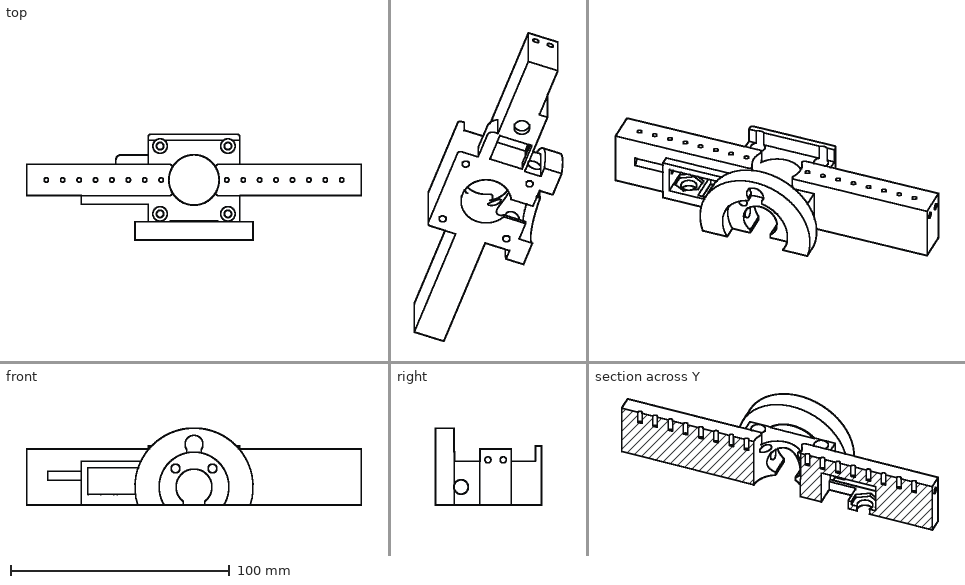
import cadquery as cq
import math

beam_length = 153.0
beam_width = 14.4
beam_height = 25.7
bore_radius = 11.45
beam_tip_fillet = 1.25

block_half_width = 21.0
block_front = -19.0
block_back = 21.0
block_height = 20.1
back_wall_thickness = 2.8
back_wall_height = 27.1
back_corner_fillet = 1.4

screw_offset = 15.5
screw_radius = 1.6
counterbore_radius = 3.3
counterbore_depth = 5.0

ring_radius = 27.0
ring_bore_radius = 15.95
ring_thickness = 8.5
ring_center_z = 8.3
ring_back = block_front
ring_front = ring_back - ring_thickness
disc_radius = 16.0
disc_thickness = 2.4
disc_projection = 2.0

keyhole_radius = 4.1
keyhole_center_z = 27.8
keyhole_neck_half_width = 3.3
keyhole_depth = 4.0

front_bore_radius = 8.2
front_slot_half_width = 4.9
front_hole_radius = 2.0
front_hole_offset = 8.45
cross_hole_y = -15.8
cross_hole_radius = 3.25

top_hole_radius = 1.0
top_hole_depth = 6.0
top_hole_count = 8
top_hole_pitch = 7.5
top_hole_start = 15.0
end_hole_radius = 1.4
end_hole_depth = 10.0
end_hole_offset = 3.5
end_hole_z = 20.7

housing_left = -51.6
housing_front = -11.2
window_left = -48.5
window_right = -21.8
window_bottom = 4.9
window_top = 17.0
cavity_back = 6.0
well_left = -35.0
well_front = -9.6
nut_x = -42.5
nut_y = -2.0
nut_across_flats = 11.8
nut_depth = 1.8
nut_hole_radius = 3.6

groove_left = -66.9
groove_z = 13.5
groove_radius = 2.1
wire_hole_radius = 1.3

lug_left = -35.8
lug_back = 11.5
lug_fillet = 2.5
lug_top = 12.5


def box(x0, x1, y0, y1, z0, z1):
    """Box between two opposite corners."""
    return cq.Workplane("XY").box(x1 - x0, y1 - y0, z1 - z0, centered=False).translate((x0, y0, z0))


def rod_x(x0, x1, y, z, radius):
    """Cylinder along X."""
    return cq.Workplane("YZ", origin=(x0, y, z)).circle(radius).extrude(x1 - x0)


def rod_y(y0, y1, x, z, radius):
    """Cylinder along Y."""
    return cq.Workplane("XZ", origin=(x, y0, z)).circle(radius).extrude(y0 - y1)


def rod_z(z0, z1, x, y, radius):
    """Cylinder along Z."""
    return cq.Workplane("XY", origin=(x, y, z0)).circle(radius).extrude(z1 - z0)


def make_beam():
    """Beam whose two raised halves end at the bore with rounded tips."""
    half_length = beam_length / 2
    half_width = beam_width / 2
    lower = box(-half_length, half_length, -half_width, half_width, 0, block_height)
    raised = box(-half_length, half_length, -half_width, half_width, block_height, beam_height)
    raised = raised.cut(rod_z(0, beam_height, 0, 0, bore_radius))
    tips = cq.selectors.BoxSelector(
        (-bore_radius, -beam_width, 0), (bore_radius, beam_width, beam_height)
    )
    raised = raised.edges("|Z").edges(tips).fillet(beam_tip_fillet)
    return lower.union(raised)


def make_block():
    """Central block with a raised wall along its back edge."""
    wall_front = block_back - back_wall_thickness
    body = box(-block_half_width, block_half_width, block_front, block_back, 0, block_height)
    wall = box(-block_half_width, block_half_width, wall_front, block_back, 0, back_wall_height)
    return body.union(wall).edges("|Z and >Y").fillet(back_corner_fillet)


def make_housing():
    """Solid outside of the switch housing."""
    return box(housing_left, -block_half_width, housing_front, 0, 0, block_height)


def make_lug():
    """Lug with a 45 degree top and a rounded outer corner."""
    beam_back = beam_width / 2
    outer_height = lug_top - (lug_back - beam_back)
    profile = [(0, 0), (lug_back, 0), (lug_back, outer_height), (beam_back, lug_top), (0, lug_top)]
    length = -block_half_width - lug_left
    lug = cq.Workplane("YZ", origin=(lug_left, 0, 0)).polyline(profile).close().extrude(length)
    corner = box(lug_left, -block_half_width, 0, lug_back, 0, lug_top).edges("|Z and >Y and <X")
    return lug.intersect(corner.fillet(lug_fillet))


def make_ring():
    """Ring with a keyhole pocket, cut flat at the base, and the disc in the back of its bore."""
    ring = rod_y(ring_front, ring_back, 0, ring_center_z, ring_radius)
    ring = ring.cut(rod_y(ring_front, ring_back, 0, ring_center_z, ring_bore_radius))
    pocket_back = ring_front + keyhole_depth
    ring = ring.cut(rod_y(ring_front, pocket_back, 0, keyhole_center_z, keyhole_radius))
    ring = ring.cut(
        box(
            -keyhole_neck_half_width, keyhole_neck_half_width, ring_front, pocket_back,
            ring_center_z, keyhole_center_z,
        )
    )
    disc_front = ring_back - disc_projection
    disc = rod_y(disc_front, disc_front + disc_thickness, 0, ring_center_z, disc_radius)
    base = box(-ring_radius, ring_radius, ring_front, 0, 0, ring_center_z + ring_radius)
    return ring.union(disc).intersect(base)


def cut_center(part):
    """Vertical bore, front opening, front holes and cross hole."""
    part = part.cut(rod_z(0, beam_height, 0, 0, bore_radius))
    front_face = block_front - disc_projection
    part = part.cut(rod_y(front_face, 0, 0, ring_center_z, front_bore_radius))
    slot = box(-front_slot_half_width, front_slot_half_width, front_face, 0, 0, ring_center_z)
    part = part.cut(slot)
    for side in (-1, 1):
        x = side * front_hole_offset
        part = part.cut(rod_y(front_face, 0, x, ring_center_z + front_hole_offset, front_hole_radius))
    cross_hole = rod_x(-block_half_width, block_half_width, cross_hole_y, ring_center_z, cross_hole_radius)
    return part.cut(cross_hole)


def cut_corner_screws(part):
    """Counterbored screw holes; the back pair also bites into the back wall."""
    for x in (-screw_offset, screw_offset):
        for y in (-screw_offset, screw_offset):
            seat = block_height - counterbore_depth
            part = part.cut(rod_z(0, back_wall_height, x, y, screw_radius))
            part = part.cut(rod_z(seat, back_wall_height, x, y, counterbore_radius))
    return part


def cut_beam_holes(part):
    """Row of blind holes along each half of the beam and two in each end face."""
    half_length = beam_length / 2
    for side in (-1, 1):
        for i in range(top_hole_count):
            x = side * (top_hole_start + i * top_hole_pitch)
            part = part.cut(rod_z(beam_height - top_hole_depth, beam_height, x, 0, top_hole_radius))
        end = side * half_length
        for y in (-end_hole_offset, end_hole_offset):
            part = part.cut(rod_x(end, end - side * end_hole_depth, y, end_hole_z, end_hole_radius))
    return part


def cut_housing(part):
    """Window cavity, the well through its floor, a hexagonal nut seat and the cable groove."""
    cavity = box(window_left, window_right, housing_front, cavity_back, window_bottom, window_top)
    part = part.cut(cavity)
    part = part.cut(box(well_left, window_right, well_front, cavity_back, 0, window_bottom))
    seat = window_bottom - nut_depth
    across_corners = nut_across_flats / math.cos(math.pi / 6)
    hexagon = cq.Workplane("XY").polygon(6, across_corners).extrude(nut_depth)
    hexagon = hexagon.rotate((0, 0, 0), (0, 0, 1), 30)
    part = part.cut(hexagon.translate((nut_x, nut_y, seat)))
    part = part.cut(rod_z(0, seat, nut_x, nut_y, nut_hole_radius))
    groove_y = -beam_width / 2
    part = part.cut(rod_x(groove_left, housing_left, groove_y, groove_z, groove_radius))
    return part.cut(rod_x(housing_left, window_left, groove_y, groove_z, wire_hole_radius))


solid = make_beam().union(make_block()).union(make_housing()).union(make_lug())
solid = solid.union(make_ring())
solid = cut_center(solid)
solid = cut_corner_screws(solid)
solid = cut_beam_holes(solid)
result = cut_housing(solid)